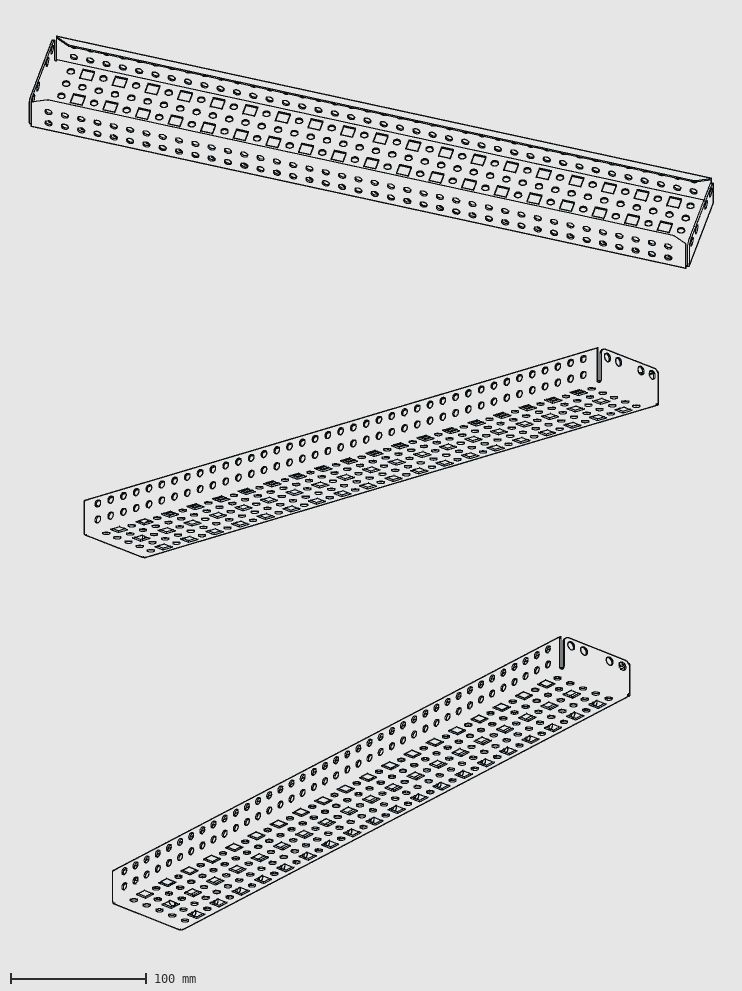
import cadquery as cq

length = 506.0
width = 69.0
height = 27.0

sheet = 1.4
side_bend = 1.2
end_bend = 2.0

side_wall_setback = 2.3
end_wall_setback = 2.5
end_corner_radius = 4.5

flange_width = 6.5
flange_tip_setback = 13.0

columns = 39
first_square_column = 1
square_column_span = 450.0
floor_rows = (-2, -1, 0, 1, 2)
round_hole_radius = 2.7
square_hole_half = 4.5
side_rows_middle_z = 14.5

end_hole_diameter = 6.5
end_hole_steps = (-2, -1, 1, 2)

last_column = columns - 1
pitch = square_column_span / (last_column - 2 * first_square_column)
column_xs = [(column - last_column / 2) * pitch for column in range(columns)]
upper_row_z = side_rows_middle_z + pitch / 2
lower_row_z = side_rows_middle_z - pitch / 2


def bar(plane, bar_width, bar_height, run, base_z=0.0):
    """Solid bar standing on base_z, extruded run long, half to each side of the plane."""
    return (
        cq.Workplane(plane)
        .center(0, base_z + bar_height / 2)
        .rect(bar_width, bar_height)
        .extrude(run / 2, both=True)
    )


def flange_mouth():
    """Opening between the return flanges, flared at each end to cut the flange ends at an angle."""
    root_x = length / 2 - side_wall_setback
    root_y = width / 2 - side_bend
    tip_x = length / 2 - flange_tip_setback
    tip_y = width / 2 - flange_width
    return (
        cq.Workplane("XY")
        .workplane(offset=height - sheet)
        .polyline([
            (-root_x, root_y),
            (-tip_x, tip_y),
            (tip_x, tip_y),
            (root_x, root_y),
            (root_x, -root_y),
            (tip_x, -tip_y),
            (-tip_x, -tip_y),
            (-root_x, -root_y),
        ])
        .close()
        .extrude(sheet)
    )


def side_channel():
    """Floor and both side walls, with mitred return flanges along the tops."""
    run = length - 2 * side_wall_setback
    outside = bar("YZ", width, height, run).edges("|X").fillet(side_bend)
    inside = bar("YZ", width - 2 * sheet, height - 2 * sheet, run, sheet)
    return outside.cut(inside).cut(flange_mouth())


def end_channel():
    """Floor and both end walls, with rounded upper corners."""
    run = width - 2 * end_wall_setback
    outside = (
        bar("XZ", length, height, run)
        .edges("|Y and <Z")
        .fillet(end_bend)
        .edges("|X and >Z")
        .fillet(end_corner_radius)
    )
    inside = (
        bar("XZ", length - 2 * sheet, height - sheet, run, sheet)
        .edges("|Y and <Z")
        .fillet(end_bend - sheet)
    )
    return outside.cut(inside)


def floor_holes():
    """Round holes on the grid, with squares on every second column of every second row."""
    rounds = []
    squares = []
    for column, x in enumerate(column_xs):
        for row in floor_rows:
            is_square = column % 2 == first_square_column and row % 2 == 0
            points = squares if is_square else rounds
            points.append((x, row * pitch))
    square_side = 2 * square_hole_half
    round_cuts = cq.Workplane("XY").pushPoints(rounds).circle(round_hole_radius).extrude(sheet)
    square_cuts = cq.Workplane("XY").pushPoints(squares).rect(square_side, square_side).extrude(sheet)
    return round_cuts.union(square_cuts)


def side_holes():
    """Two rows of round holes through both side walls."""
    points = [(x, z) for x in column_xs for z in (lower_row_z, upper_row_z)]
    return cq.Workplane("XZ").pushPoints(points).circle(round_hole_radius).extrude(width / 2, both=True)


def end_holes():
    """One row of round holes through both end walls."""
    points = [(step * pitch, upper_row_z) for step in end_hole_steps]
    return cq.Workplane("YZ").pushPoints(points).circle(end_hole_diameter / 2).extrude(length / 2, both=True)


tray = side_channel().union(end_channel())
result = tray.cut(floor_holes()).cut(side_holes()).cut(end_holes())